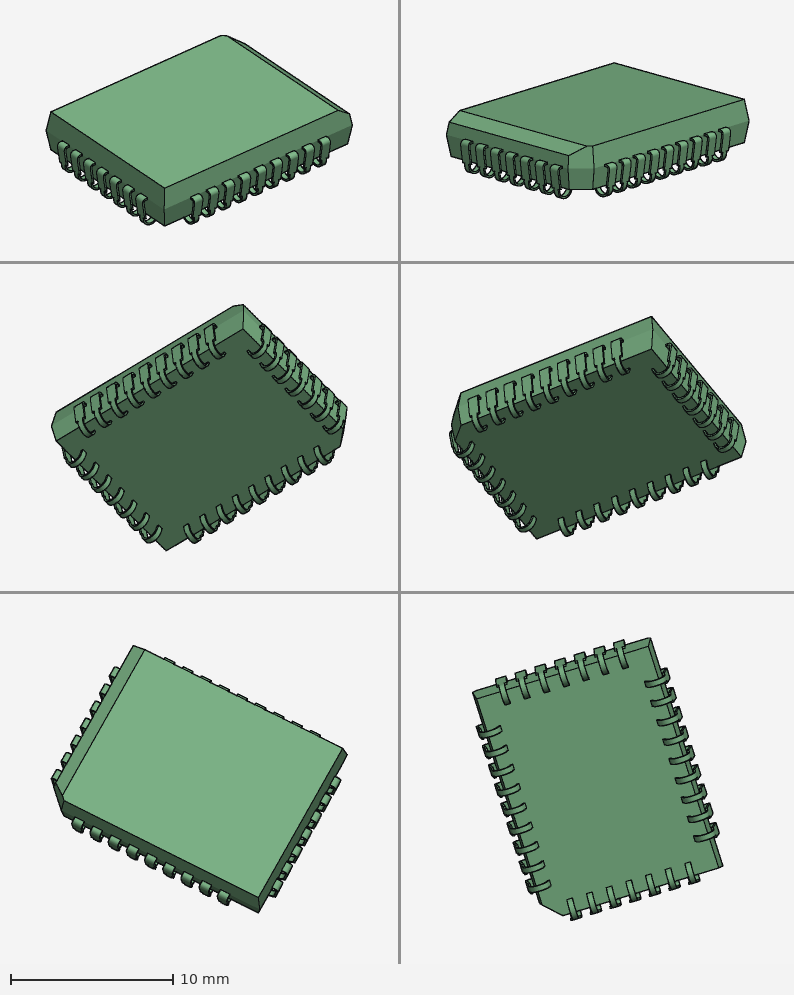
import cadquery as cq
import math

overall_x = 12.32
overall_y = 15.82
overall_z = 3.53

lead_projection = 0.41
body_half_x = overall_x / 2 - lead_projection
body_half_y = overall_y / 2 - lead_projection
body_bottom = 0.73
parting_z = (body_bottom + overall_z) / 2
body_draft = 8.5
corner_cut = 1.14
top_bevel_run = 0.98
top_bevel_slope = math.radians(34)

leads_per_long_side = 9
leads_per_short_side = 7
long_row_span = 10.15
pitch = long_row_span / (leads_per_long_side - 1)
lead_thickness = 0.13
shoulder_width = 0.66
foot_width = 0.36
bend_radius = 0.25
foot_radius = 0.62
leg_tilt = math.radians(8.5)
tip_tilt = math.radians(20)
lead_embed = 0.16


def body_half(height):
    """Half of the body, drafted inwards from the parting plane by a signed height."""
    outline = [
        (-body_half_x, -body_half_y),
        (body_half_x, -body_half_y),
        (body_half_x, body_half_y),
        (-body_half_x + corner_cut, body_half_y),
        (-body_half_x, body_half_y - corner_cut),
    ]
    return (
        cq.Workplane("XY")
        .workplane(offset=parting_z)
        .polyline(outline)
        .close()
        .extrude(height, taper=body_draft)
    )


def top_bevel():
    """Wedge removed along the whole +Y edge of the top face."""
    drop = top_bevel_run * math.tan(top_bevel_slope)
    start_y = body_half_y - top_bevel_run
    return (
        cq.Workplane("YZ")
        .polyline([
            (start_y, overall_z),
            (body_half_y, overall_z - drop),
            (body_half_y, overall_z),
        ])
        .close()
        .extrude(body_half_x, both=True)
    )


def along(point, direction, distance):
    """Point reached by moving a distance from a point in a unit direction."""
    return (point[0] + distance * direction[0], point[1] + distance * direction[1])


def j_lead(body_edge):
    """One lead centred on Y = 0 that leaves the body wall at X = body_edge."""
    up = (0, 1)
    down = (0, -1)
    leg_normal = (math.cos(leg_tilt), -math.sin(leg_tilt))
    bend_middle = (math.sin(math.pi / 4), math.cos(math.pi / 4))
    tip_normal = (-math.cos(tip_tilt), -math.sin(tip_tilt))
    tip_direction = (-math.sin(tip_tilt), math.cos(tip_tilt))

    lead_top = parting_z + lead_thickness / 2
    bend_center = (body_edge + lead_projection - bend_radius, lead_top - bend_radius)
    leg_distance = bend_center[0] * leg_normal[0] + bend_center[1] * leg_normal[1] + bend_radius
    foot_x = (leg_distance - foot_radius - foot_radius * leg_normal[1]) / leg_normal[0]
    foot_center = (foot_x, foot_radius)

    bend_inside = bend_radius - lead_thickness
    foot_inside = foot_radius - lead_thickness
    outer_tip = along(foot_center, tip_normal, foot_radius)
    inner_tip = along(foot_center, tip_normal, foot_inside)
    tip_length = (body_bottom + lead_embed - outer_tip[1]) / math.cos(tip_tilt)
    root_x = body_edge - lead_embed

    strip = (
        cq.Workplane("XZ")
        .moveTo(root_x, lead_top)
        .lineTo(*along(bend_center, up, bend_radius))
        .threePointArc(
            along(bend_center, bend_middle, bend_radius),
            along(bend_center, leg_normal, bend_radius),
        )
        .lineTo(*along(foot_center, leg_normal, foot_radius))
        .threePointArc(along(foot_center, down, foot_radius), outer_tip)
        .lineTo(*along(outer_tip, tip_direction, tip_length))
        .lineTo(*along(inner_tip, tip_direction, tip_length))
        .lineTo(*inner_tip)
        .threePointArc(
            along(foot_center, down, foot_inside),
            along(foot_center, leg_normal, foot_inside),
        )
        .lineTo(*along(bend_center, leg_normal, bend_inside))
        .threePointArc(
            along(bend_center, bend_middle, bend_inside),
            along(bend_center, up, bend_inside),
        )
        .lineTo(root_x, lead_top - lead_thickness)
        .close()
        .extrude(shoulder_width / 2, both=True)
    )

    half_shoulder = shoulder_width / 2
    half_foot = foot_width / 2
    blank = (
        cq.Workplane("YZ")
        .polyline([
            (-half_foot, 0),
            (half_foot, 0),
            (half_foot, body_bottom),
            (half_shoulder, body_bottom),
            (half_shoulder, overall_z),
            (-half_shoulder, overall_z),
            (-half_shoulder, body_bottom),
            (-half_foot, body_bottom),
        ])
        .close()
        .extrude(overall_y)
    )
    return strip.intersect(blank)


def lead_row(body_edge, count):
    """Evenly pitched row of leads on the +X side, centred on Y = 0."""
    lead = j_lead(body_edge).val()
    first_y = -pitch * (count - 1) / 2
    return [lead.translate(cq.Vector(0, first_y + i * pitch, 0)) for i in range(count)]


body = body_half(overall_z - parting_z).union(body_half(body_bottom - parting_z))
body = body.cut(top_bevel())

long_row = lead_row(body_half_x, leads_per_long_side)
short_row = lead_row(body_half_y, leads_per_short_side)
sides = [(long_row, 0), (short_row, 90), (long_row, 180), (short_row, 270)]

result = body
for row, angle in sides:
    for lead in row:
        result = result.union(cq.Workplane(lead.rotate((0, 0, 0), (0, 0, 1), angle)))